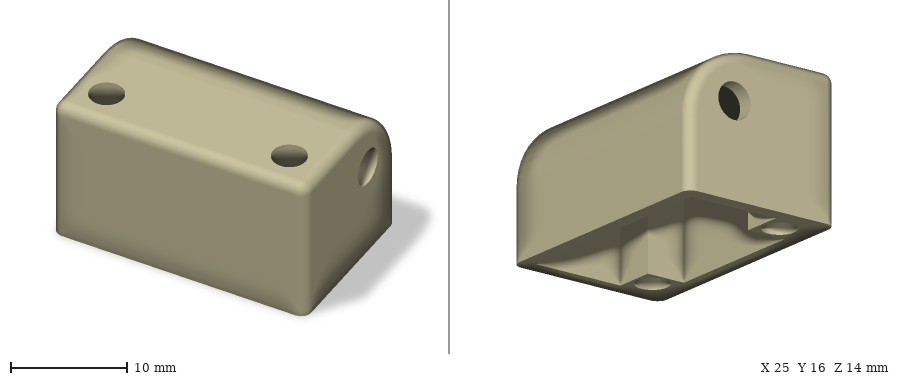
import cadquery as cq

length = 25.0
depth = 16.0
height = 14.0

back_radius = 7.0
edge_radius = 1.0
wall = 1.5
cavity_radius = 5.0

screw_diameter = 3.2
screw_spacing = 18.0
screw_x = 3.45
screw_y = 3.5
post_reach = 5.4

cross_diameter = 3.5
cross_back_distance = 5.0
cross_height = 9.1


def round_backed_block(x_start, x_end, y_front, y_back, top, radius):
    """Block standing on the base, with its top back edge rounded."""
    block = cq.Workplane("XY").box(
        x_end - x_start, y_back - y_front, top, centered=False
    )
    block = block.edges(">Y and >Z").fillet(radius)
    return block.translate((x_start, y_front, 0))


def make_body():
    """Outer block with small rounds on every edge except those of the base."""
    body = round_backed_block(0, length, 0, depth, height, back_radius)
    rounded = body.faces("<X or >X").edges("not <Z")
    rounded = rounded.add(body.edges("<Y and >Z"))
    return rounded.fillet(edge_radius)


def make_cavity():
    """Inside of the shell, with a rounded back, less the screw posts in the front corners."""
    inside = round_backed_block(
        wall, length - wall, wall, depth - wall, height - wall, cavity_radius
    )
    posts = (
        cq.Workplane("XY")
        .pushPoints([(0, 0), (length, 0)])
        .rect(2 * post_reach, 2 * post_reach)
        .extrude(height)
    )
    return inside.cut(posts)


def make_screw_holes():
    """Upright holes through the two posts and the top."""
    positions = [(screw_x, screw_y), (screw_x + screw_spacing, screw_y)]
    return (
        cq.Workplane("XY")
        .pushPoints(positions)
        .circle(screw_diameter / 2)
        .extrude(height)
    )


def make_cross_hole():
    """Hole along the length, through both end walls and the cavity."""
    return (
        cq.Workplane("YZ")
        .center(depth - cross_back_distance, cross_height)
        .circle(cross_diameter / 2)
        .extrude(length)
    )


result = make_body().cut(make_cavity()).cut(make_screw_holes()).cut(make_cross_hole())